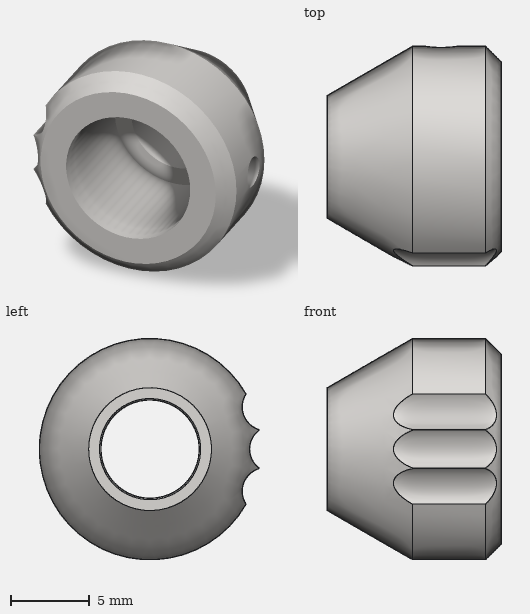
import cadquery as cq
import math

LENGTH = 11.0
BODY_RADIUS = 7.0
CONE_HALF_ANGLE = 30.0
CONE_LENGTH = 5.4
REAR_CHAMFER = 1.0

BORE_RADIUS = 3.1
BORE_LENGTH = 3.0
BORE_LIP_CHAMFER = 0.1
COUNTERBORE_RADIUS = 4.25

FLUTE_COUNT = 3
FLUTE_SPACING = 20.0
FLUTE_RADIUS = 1.5
FLUTE_DEPTH = 0.7

SCREW_HOLE_RADIUS = 1.0
SCREW_HOLE_X = 7.2

nose_radius = BODY_RADIUS - CONE_LENGTH * math.tan(math.radians(CONE_HALF_ANGLE))


def make_body():
    """Cone, cylinder and rear chamfer as one revolved half profile."""
    profile = (
        cq.Workplane("XY")
        .moveTo(0, 0)
        .lineTo(0, nose_radius)
        .lineTo(CONE_LENGTH, BODY_RADIUS)
        .lineTo(LENGTH - REAR_CHAMFER, BODY_RADIUS)
        .lineTo(LENGTH, BODY_RADIUS - REAR_CHAMFER)
        .lineTo(LENGTH, 0)
        .close()
    )
    return profile.revolve(360, (0, 0, 0), (1, 0, 0))


def make_bore():
    """Bore with a chamfered lip, opening into a wider counterbore at the rear."""
    profile = (
        cq.Workplane("XY")
        .moveTo(0, 0)
        .lineTo(0, BORE_RADIUS + BORE_LIP_CHAMFER)
        .lineTo(BORE_LIP_CHAMFER, BORE_RADIUS)
        .lineTo(BORE_LENGTH, BORE_RADIUS)
        .lineTo(BORE_LENGTH, COUNTERBORE_RADIUS)
        .lineTo(LENGTH, COUNTERBORE_RADIUS)
        .lineTo(LENGTH, 0)
        .close()
    )
    return profile.revolve(360, (0, 0, 0), (1, 0, 0))


def make_flute(angle):
    """Full-length round cutter, turned about X by an angle from the -Y direction."""
    axis_distance = BODY_RADIUS - FLUTE_DEPTH + FLUTE_RADIUS
    cutter = cq.Workplane("YZ").center(-axis_distance, 0).circle(FLUTE_RADIUS).extrude(LENGTH)
    return cutter.rotate((0, 0, 0), (1, 0, 0), angle)


def make_screw_hole():
    """Radial hole from the bore axis out through the +Y wall."""
    axis = cq.Plane(origin=(SCREW_HOLE_X, 0, 0), xDir=(1, 0, 0), normal=(0, 1, 0))
    return cq.Workplane(axis).circle(SCREW_HOLE_RADIUS).extrude(BODY_RADIUS)


result = make_body().cut(make_bore()).cut(make_screw_hole())
for index in range(FLUTE_COUNT):
    flute_angle = (index - (FLUTE_COUNT - 1) / 2) * FLUTE_SPACING
    result = result.cut(make_flute(flute_angle))